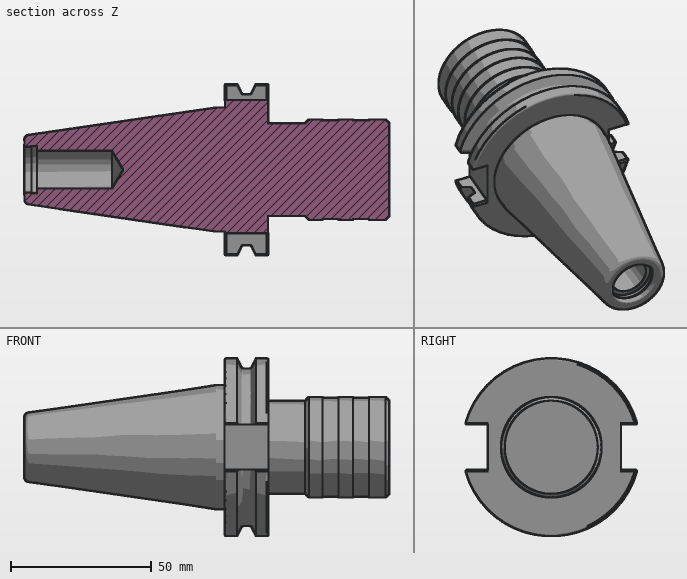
import cadquery as cq
import math

total_length = 130.2

gauge_radius = 44.4 / 2
gauge_x = 68.5
taper_slope = 3.5 / 24
nose_fillet = 2.0

flange_radius = 63.5 / 2
flange_start_x = 71.5
flange_end_x = 87.1
flange_fillet = 0.8
groove_middle_x = 79.3
groove_floor_radius = 28.1
groove_floor_width = 3.1
groove_wall_angle = 27.0
groove_corner_fillet = 0.5

slot_width = 16.0
slot_floor_plus_y = 24.9
slot_floor_minus_y = 22.7
slot_chamfer = 0.7

neck_radius = 33.2 / 2
collar_radius = 36.0 / 2
collar_start_x = 100.1
band_radius = 35.4 / 2
band_width = 5.6
band_starts_x = (106.4, 117.3)

lip_radius = 16.3 / 2
lip_end_x = 2.6
lip_fillet = 0.7
undercut_radius = 16.8 / 2
undercut_end_x = 4.5
bore_radius = 13.4 / 2
bore_end_x = 31.2
drill_point_angle = 118.0


def revolve_about_x(profile):
    return profile.close().revolve(360, (0, 0, 0), (1, 0, 0))


def disc(start_x, end_x, radius):
    return cq.Workplane("YZ", origin=(start_x, 0, 0)).circle(radius).extrude(end_x - start_x)


def taper():
    nose_radius = gauge_radius - gauge_x * taper_slope
    cone = revolve_about_x(
        cq.Workplane("XY")
        .lineTo(0, nose_radius)
        .lineTo(gauge_x, gauge_radius)
        .lineTo(flange_start_x, gauge_radius)
        .lineTo(flange_start_x, 0)
    )
    return cone.faces("<X").edges().fillet(nose_fillet)


def gripper_groove():
    half_floor = groove_floor_width / 2
    wall_height = flange_radius - groove_floor_radius
    half_mouth = half_floor + wall_height * math.tan(math.radians(groove_wall_angle))
    ring = revolve_about_x(
        cq.Workplane("XY")
        .moveTo(groove_middle_x - half_mouth, flange_radius)
        .lineTo(groove_middle_x - half_floor, groove_floor_radius)
        .lineTo(groove_middle_x + half_floor, groove_floor_radius)
        .lineTo(groove_middle_x + half_mouth, flange_radius)
    )
    floor_edges = ring.edges(cq.selectors.RadiusNthSelector(0))
    return floor_edges.fillet(groove_corner_fillet)


def driving_slot(side, floor_distance):
    """Slot open to +Y (side = 1) or -Y (side = -1)."""
    flange_width = flange_end_x - flange_start_x
    depth = flange_radius - floor_distance
    middle_x = (flange_start_x + flange_end_x) / 2
    middle_y = side * (floor_distance + depth / 2)
    return cq.Workplane("XY").box(flange_width, depth, slot_width).translate((middle_x, middle_y, 0))


def flange():
    body = disc(flange_start_x, flange_end_x, flange_radius)
    for side, floor_distance in ((1, slot_floor_plus_y), (-1, slot_floor_minus_y)):
        body = body.cut(driving_slot(side, floor_distance))
    outside_floors = slot_floor_plus_y + slot_chamfer
    wall_edges = body.faces("|Z").edges().filter(lambda edge: abs(edge.Center().y) > outside_floors)
    body = wall_edges.chamfer(slot_chamfer)
    body = body.edges("%CIRCLE").fillet(flange_fillet)
    return body.cut(gripper_groove())


def collar():
    chamfer = collar_radius - neck_radius
    body = disc(collar_start_x, total_length, collar_radius).edges().chamfer(chamfer)
    for band_start_x in band_starts_x:
        band_end_x = band_start_x + band_width
        relief = disc(band_start_x, band_end_x, collar_radius)
        body = body.cut(relief.cut(disc(band_start_x, band_end_x, band_radius)))
    return body


def bore():
    point_length = bore_radius / math.tan(math.radians(drill_point_angle / 2))
    return revolve_about_x(
        cq.Workplane("XY")
        .lineTo(0, lip_radius + lip_fillet)
        .radiusArc((lip_fillet, lip_radius), -lip_fillet)
        .lineTo(lip_end_x, lip_radius)
        .lineTo(lip_end_x, undercut_radius)
        .lineTo(undercut_end_x, undercut_radius)
        .lineTo(undercut_end_x, bore_radius)
        .lineTo(bore_end_x, bore_radius)
        .lineTo(bore_end_x + point_length, 0)
    )


neck = disc(flange_end_x, collar_start_x, neck_radius)
result = taper().union(flange()).union(neck).union(collar()).cut(bore())